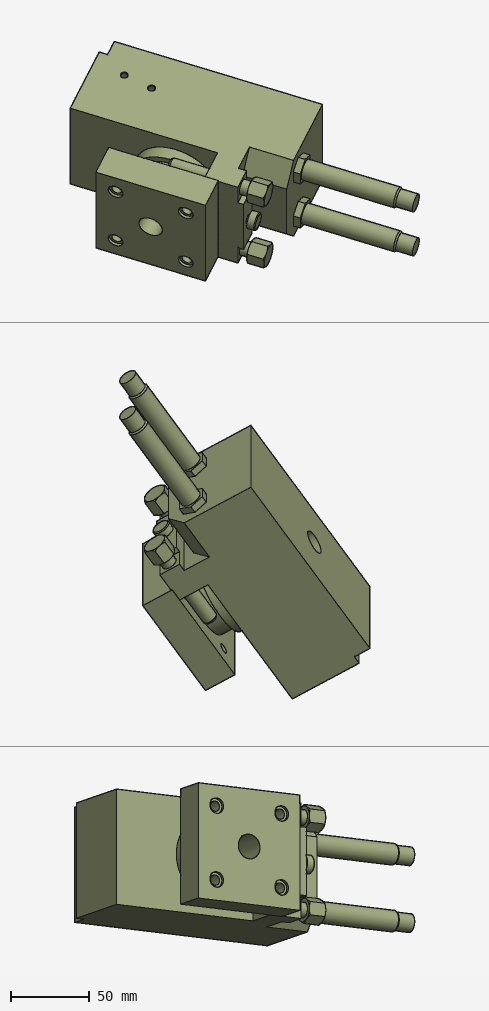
import cadquery as cq
import math


block_left = -72.0
block_right = 75.7
block_depth = 61.8
height = 74.8
top = height / 2
notch_width = 5.7
notch_depth = 11.6

slope_left = 45.5
slope_depth = 11.9
slope_height = 15.3

bracket_left = 28.5
bracket_reach = 22.0
bracket_bar_right = slope_left
stop_width = 14.8
stop_right = 51.0
stop_nose_right = 55.0

port_places = [(-50.2, 38.0), (-30.0, 34.5)]
port_mouth_diameter = 5.0
port_diameter = 4.0
port_mouth_angle = 90
port_depth = 9.1

plate_size = height
plate_thickness = 22.1
collar_diameter = 56.0
collar_length = 9.0
shaft_diameter = 48.0
shaft_length = 12.3
bore_diameter = 16.0
plate_back = -(collar_length + shaft_length)
plate_front = plate_back - plate_thickness
bolt_spacing = 47.9
bolt_hole_diameter = 6.5
bolt_head_diameter = 10.0
bolt_head_depth = 2.0

outer_height = 77.3
head_across_corners = 17.3
head_chamfer_length = 0.7
head_chamfer_width = 1.1
screw_y = -14.5
screw_z = (outer_height - head_across_corners) / 2
screw_diameter = 10.0
screw_tip_x = 1.8
screw_tip_chamfer_length = 1.4
screw_tip_chamfer_width = 1.0
head_left = 57.0
head_right = 69.0

button_diameter = 12.0
button_left = 56.5
button_right = 62.0
button_chamfer = 0.7
button_neck_diameter = 6.0

absorber_y = 19.8
absorber_z = 21.7
absorber_nut_across_flats = 17.0
absorber_nut_length = 4.8
absorber_diameter = 14.0
absorber_tip_diameter = 12.0
absorber_end = 156.0
absorber_tip_length = 11.5
absorber_shoulder_length = 1.1


def box(x0, x1, y0, y1, z0, z1):
    return cq.Workplane("XY").box(x1 - x0, y1 - y0, z1 - z0, centered=False).translate((x0, y0, z0))


def rod(diameter, x0, x1, y, z):
    """Cylinder along X."""
    return cq.Workplane("YZ", origin=(x0, y, z)).circle(diameter / 2).extrude(x1 - x0)


def hexagon(across_corners, x0, x1, y, z):
    """Hexagonal prism along X with two corners pointing up and down."""
    return (
        cq.Workplane("YZ", origin=(x0, y, z))
        .transformed(rotate=(0, 0, 90))
        .polygon(6, across_corners)
        .extrude(x1 - x0)
    )


def make_block():
    block = box(block_left, block_right, 0, block_depth, -top, top)
    block = block.cut(
        box(block_left, block_left + notch_width, block_depth - notch_depth, block_depth, -top, top)
    )
    for side in (1, -1):
        wedge = (
            cq.Workplane("YZ", origin=(slope_left, 0, 0))
            .polyline([(0, side * (top - slope_height)), (0, side * top), (slope_depth, side * top)])
            .close()
            .extrude(block_right - slope_left)
        )
        block = block.cut(wedge)
    top_face = block.faces(">Z").workplane(origin=(0, 0, top))
    block = top_face.pushPoints(port_places).cskHole(
        port_diameter, port_mouth_diameter, port_mouth_angle, depth=port_depth
    )
    bore = cq.Workplane("XZ").circle(bore_diameter / 2).extrude(-block_depth)
    return block.cut(bore)


def make_bracket():
    bar = box(bracket_left, bracket_bar_right, -bracket_reach, 0, -top, top)
    plate_relief = box(bracket_left, plate_size / 2, -bracket_reach, plate_back, -top, top)
    bar = bar.cut(plate_relief)
    stop_back = -bracket_reach + stop_width
    stop = box(bracket_bar_right, stop_right, -bracket_reach, stop_back, -top, top)
    nose_top = top - slope_height
    nose = box(stop_right, stop_nose_right, -bracket_reach, stop_back, -nose_top, nose_top)
    neck = rod(button_neck_diameter, stop_nose_right, button_left, screw_y, 0)
    button = rod(button_diameter, button_left, button_right, screw_y, 0)
    button = button.faces(">X").chamfer(button_chamfer)
    return bar.union(stop).union(nose).union(neck).union(button)


def make_screw(z):
    shank = rod(screw_diameter, screw_tip_x, head_left, screw_y, z)
    shank = shank.faces("<X").chamfer(screw_tip_chamfer_length, screw_tip_chamfer_width)
    head = hexagon(head_across_corners, head_left, head_right, screw_y, z)
    envelope = rod(head_across_corners, head_left, head_right, screw_y, z)
    envelope = envelope.faces(">X or <X").chamfer(head_chamfer_length, head_chamfer_width)
    return shank.union(head.intersect(envelope))


def make_absorber(z):
    nut_end = block_right + absorber_nut_length
    body_end = absorber_end - absorber_tip_length
    across_corners = absorber_nut_across_flats / math.cos(math.pi / 6)
    absorber_shoulder_width = (absorber_diameter - absorber_tip_diameter) / 2
    nut = hexagon(across_corners, block_right, nut_end, absorber_y, z)
    body = rod(absorber_diameter, nut_end, body_end, absorber_y, z)
    body = body.faces(">X").chamfer(absorber_shoulder_length, absorber_shoulder_width)
    return nut.union(body).union(rod(absorber_tip_diameter, body_end, absorber_end, absorber_y, z))


def make_housing():
    housing = make_block().union(make_bracket())
    for side in (1, -1):
        housing = housing.union(make_screw(side * screw_z))
        housing = housing.union(make_absorber(side * absorber_z))
    return housing


def make_rotor():
    collar = cq.Workplane("XZ").circle(collar_diameter / 2).extrude(collar_length)
    shaft = cq.Workplane("XZ").circle(shaft_diameter / 2).extrude(-plate_back)
    half = plate_size / 2
    plate = box(-half, half, plate_front, plate_back, -half, half)
    rotor = collar.union(shaft).union(plate)
    front = cq.Workplane("XZ", origin=(0, plate_front, 0))
    rotor = rotor.cut(front.circle(bore_diameter / 2).extrude(plate_front))
    bolts = front.rect(bolt_spacing, bolt_spacing, forConstruction=True).vertices()
    rotor = rotor.cut(bolts.circle(bolt_hole_diameter / 2).extrude(-plate_thickness))
    return rotor.cut(bolts.circle(bolt_head_diameter / 2).extrude(-bolt_head_depth))


housing = make_housing()
rotor = make_rotor()
result = cq.Compound.makeCompound([housing.val(), rotor.val()])